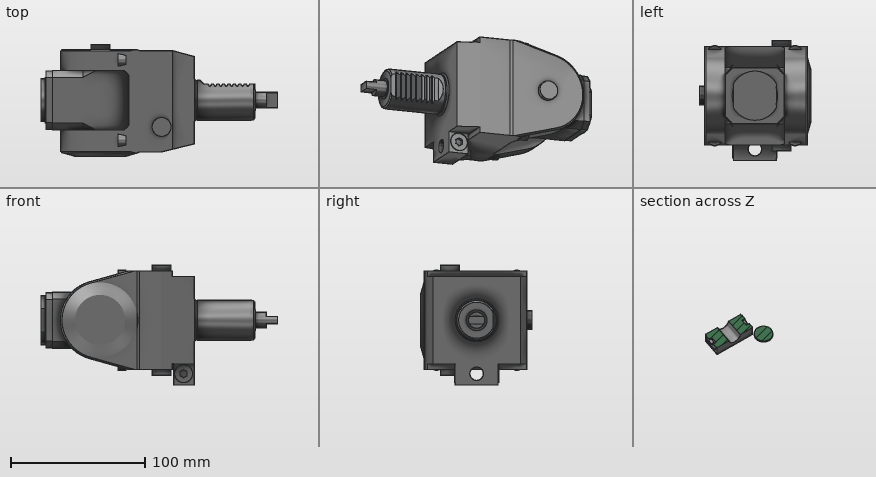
import cadquery as cq
import math


NOSE_RADIUS = 29.8
BODY_HALF_HEIGHT = 36.9
SLOPE_END_X = 21.4
STEP_X = 53.7
BODY_END_X = 70.0
END_HALF_HEIGHT = 32.7
END_HALF_WIDTH = 32.7
BODY_BACK_Y = 37.0
BODY_FRONT_Y = -38.7
CHEEK_HEIGHT = 0.7
CHEEK_END_X = 27.2
CHEEK_BEVEL_LENGTH = 2.1
CHEEK_CHAMFER = 1.2
FRONT_TAPER_X = 45.7

SLOT_HALF_WIDTH = 22.2
SLOT_END_X = 21.4
SLOT_CORNER_RADIUS = 5.8
RELIEF_HALF_HEIGHT = 23.0

HEAD_RADIUS = 21.0
HEAD_START_X = -35.7
HEAD_CHAMFER = 5.1
HEAD_CHAMFER_END_X = -13.0
HEAD_CHAMFER_RUNOUT_X = -3.0
FACE_PLATE_START_X = -40.6
FACE_PLATE_INSET = 0.4
NECK_LENGTH = 0.5
NECK_RADIUS = 17.0
CAP_START_X = -44.3
CAP_RADIUS = 18.4
CAP_HALF_WIDTH = 16.0

COVER_Y = -42.0
COVER_BASE_RADIUS = 28.0
COVER_TOP_RADIUS = 18.7
PIN_RADIUS = 7.0
PIN_END_Y = 41.5

PLUG_RADIUS = 7.0
PLUG_X = 45.7
PLUG_Y = -20.0
PLUG_HALF_SPAN = 41.1

SCREW_RADIUS = 5.3
SCREW_START_X = 13.2
SCREW_LENGTH = 6.0
SCREW_Z = 32.1
SCREW_SPACING = 60.0

BLOCK_START_X = 54.7
BLOCK_BOTTOM_Z = -48.4
BLOCK_HALF_WIDTH = 16.0
NOZZLE_X = 62.1
NOZZLE_Z = -39.9
NOZZLE_RADIUS = 6.7
NOZZLE_HEIGHT = 0.5
SOCKET_WIDTH = 5.3
SOCKET_DEPTH = 2.6
BLOCK_BORE_RADIUS = 5.0

SHANK_RADIUS = 15.0
SHANK_END_X = 115.3
SHANK_SHOULDER_X = 112.3
SHANK_LIP_X = 114.4
SHANK_LIP_RADIUS = 14.6
SHANK_END_RADIUS = 13.5
COLLAR_RADIUS = 16.0
COLLAR_END_X = 71.3
RELIEF_GROOVE_END_X = 72.4
RELIEF_GROOVE_RADIUS = 14.8
FLAT_Y = 12.2
FLAT_START_X = 74.3
TOOTH_COUNT = 8
TOOTH_PITCH = 4.0
TOOTH_DEPTH = 1.6
FIRST_GROOVE_X = 81.7
GROOVE_HALF_WIDTH = 1.5
GROOVE_FLOOR_HALF_WIDTH = 0.4
PILOT_RADIUS = 7.8
PILOT_LENGTH = 0.4
TANG_RADIUS = 6.0
TANG_FLAT_START_X = 123.9
TANG_HALF_THICKNESS = 2.8
TANG_END_X = 132.2

CHEEK_BACK_Y = BODY_BACK_Y + CHEEK_HEIGHT
CHEEK_FRONT_Y = BODY_FRONT_Y - CHEEK_HEIGHT


def box(x_range, y_range, z_range):
    """Box between pairs of limits."""
    lengths = [high - low for low, high in (x_range, y_range, z_range)]
    corner = (x_range[0], y_range[0], z_range[0])
    return cq.Workplane("XY").box(*lengths, centered=False).translate(corner)


def rod_x(radius, start, end, y=0, z=0):
    """Cylinder along X."""
    return cq.Workplane("YZ", origin=(start, y, z)).circle(radius).extrude(end - start)


def rod_y(radius, start, end, x=0, z=0):
    """Cylinder along Y."""
    return cq.Workplane("XZ", origin=(x, start, z)).circle(radius).extrude(start - end)


def chamfered_bar(half_width, half_height, chamfer, start, end):
    """Rectangular bar along X with its four long edges chamfered."""
    bar = box((start, end), (-half_width, half_width), (-half_height, half_height))
    return bar.edges("|X").chamfer(chamfer)


def side_profile():
    """Body seen along Y: round nose, tangent slopes, stepped back end."""
    corner_distance = math.hypot(SLOPE_END_X, BODY_HALF_HEIGHT)
    corner_angle = math.atan2(BODY_HALF_HEIGHT, SLOPE_END_X)
    tangent_angle = corner_angle + math.acos(NOSE_RADIUS / corner_distance)
    tangent_x = NOSE_RADIUS * math.cos(tangent_angle)
    tangent_z = NOSE_RADIUS * math.sin(tangent_angle)
    return (
        cq.Workplane("XZ")
        .moveTo(tangent_x, -tangent_z)
        .threePointArc((-NOSE_RADIUS, 0), (tangent_x, tangent_z))
        .lineTo(SLOPE_END_X, BODY_HALF_HEIGHT)
        .lineTo(STEP_X, BODY_HALF_HEIGHT)
        .lineTo(STEP_X, END_HALF_HEIGHT)
        .lineTo(BODY_END_X, END_HALF_HEIGHT)
        .lineTo(BODY_END_X, -END_HALF_HEIGHT)
        .lineTo(STEP_X, -END_HALF_HEIGHT)
        .lineTo(STEP_X, -BODY_HALF_HEIGHT)
        .lineTo(SLOPE_END_X, -BODY_HALF_HEIGHT)
        .close()
        .extrude(-2 * CHEEK_FRONT_Y, both=True)
    )


def plan_profile():
    """Body seen along Z: raised cheeks at the nose, tapered sides at the back."""
    bevel_end_x = CHEEK_END_X + CHEEK_BEVEL_LENGTH
    return (
        cq.Workplane("XY")
        .moveTo(-NOSE_RADIUS, CHEEK_BACK_Y)
        .lineTo(CHEEK_END_X, CHEEK_BACK_Y)
        .lineTo(bevel_end_x, BODY_BACK_Y)
        .lineTo(STEP_X, BODY_BACK_Y)
        .lineTo(BODY_END_X, END_HALF_WIDTH)
        .lineTo(BODY_END_X, -END_HALF_WIDTH)
        .lineTo(FRONT_TAPER_X, BODY_FRONT_Y)
        .lineTo(bevel_end_x, BODY_FRONT_Y)
        .lineTo(CHEEK_END_X, CHEEK_FRONT_Y)
        .lineTo(-NOSE_RADIUS, CHEEK_FRONT_Y)
        .close()
        .extrude(BODY_HALF_HEIGHT, both=True)
    )


def fork_body():
    body = side_profile().intersect(plan_profile())
    reach = 2 * NOSE_RADIUS
    nose_zone = cq.selectors.BoxSelector((-reach, -reach, -reach), (SLOPE_END_X, reach, reach))
    for side in ("<Y", ">Y"):
        body = body.faces(side).edges(nose_zone).chamfer(CHEEK_CHAMFER)

    width_range = (-SLOT_HALF_WIDTH, SLOT_HALF_WIDTH)
    height_range = (-BODY_HALF_HEIGHT, BODY_HALF_HEIGHT)
    slot = box((-reach, SLOT_END_X), width_range, height_range)
    slot = slot.edges("|Z and >X").fillet(SLOT_CORNER_RADIUS)
    relief = chamfered_bar(SLOT_HALF_WIDTH, RELIEF_HALF_HEIGHT, SLOT_CORNER_RADIUS, 0, SLOT_END_X)
    return body.cut(slot).cut(relief)


def head_corner_cut():
    """Chamfer of the upper -Y head edge, running out to a point near the swivel axis."""
    inner_y = -SLOT_HALF_WIDTH + HEAD_CHAMFER
    lower_z = HEAD_RADIUS - HEAD_CHAMFER
    corner = (HEAD_START_X, -SLOT_HALF_WIDTH, HEAD_RADIUS)
    tip = (HEAD_CHAMFER_RUNOUT_X, -SLOT_HALF_WIDTH, HEAD_RADIUS)
    top_start = (HEAD_START_X, inner_y, HEAD_RADIUS)
    top_end = (HEAD_CHAMFER_END_X, inner_y, HEAD_RADIUS)
    side_start = (HEAD_START_X, -SLOT_HALF_WIDTH, lower_z)
    side_end = (HEAD_CHAMFER_END_X, -SLOT_HALF_WIDTH, lower_z)
    outlines = [
        [corner, top_start, side_start],
        [corner, top_start, top_end, tip],
        [corner, side_start, side_end, tip],
        [top_start, top_end, side_end, side_start],
        [top_end, side_end, tip],
    ]
    faces = []
    for points in outlines:
        wire = cq.Wire.makePolygon([cq.Vector(*point) for point in points], close=True)
        faces.append(cq.Face.makeFromWires(wire))
    return cq.Workplane(cq.Solid.makeSolid(cq.Shell.makeShell(faces)))


def swivel_head():
    width_range = (-SLOT_HALF_WIDTH, SLOT_HALF_WIDTH)
    head = box((HEAD_START_X, 0), width_range, (-HEAD_RADIUS, HEAD_RADIUS))
    head = head.union(rod_y(HEAD_RADIUS, *width_range))
    corner_cut = head_corner_cut()
    upper_cuts = corner_cut.union(corner_cut.mirror("XZ"))
    head = head.cut(upper_cuts).cut(upper_cuts.mirror("XY"))

    plate = chamfered_bar(
        SLOT_HALF_WIDTH - FACE_PLATE_INSET, HEAD_RADIUS - FACE_PLATE_INSET,
        HEAD_CHAMFER, FACE_PLATE_START_X, HEAD_START_X,
    )
    neck_start_x = FACE_PLATE_START_X - NECK_LENGTH
    neck = rod_x(NECK_RADIUS, neck_start_x, FACE_PLATE_START_X)
    cap_flats = box(
        (CAP_START_X, neck_start_x), (-CAP_HALF_WIDTH, CAP_HALF_WIDTH), (-CAP_RADIUS, CAP_RADIUS)
    )
    cap = rod_x(CAP_RADIUS, CAP_START_X, neck_start_x).intersect(cap_flats)
    return head.union(plate).union(neck).union(cap)


def swivel_cover():
    """Conical cover on the -Y cheek."""
    cone = cq.Solid.makeCone(
        COVER_BASE_RADIUS, COVER_TOP_RADIUS, CHEEK_FRONT_Y - COVER_Y,
        cq.Vector(0, CHEEK_FRONT_Y, 0), cq.Vector(0, -1, 0),
    )
    return cq.Workplane(cone)


def plugs():
    pillar = cq.Workplane("XY").center(PLUG_X, PLUG_Y).circle(PLUG_RADIUS)
    return pillar.extrude(PLUG_HALF_SPAN, both=True)


def arm_screws():
    screws = cq.Workplane()
    for y_side in (-1, 1):
        y = y_side * SCREW_SPACING / 2
        for z_side in (-1, 1):
            end_x = SCREW_START_X + SCREW_LENGTH
            screws = screws.add(rod_x(SCREW_RADIUS, SCREW_START_X, end_x, y, z_side * SCREW_Z))
    return screws.combine()


def coolant_block():
    nozzle_y = BLOCK_HALF_WIDTH + NOZZLE_HEIGHT
    block = box(
        (BLOCK_START_X, BODY_END_X), (-BLOCK_HALF_WIDTH, BLOCK_HALF_WIDTH),
        (BLOCK_BOTTOM_Z, -END_HALF_HEIGHT),
    )
    block = block.union(rod_y(NOZZLE_RADIUS, -nozzle_y, nozzle_y, NOZZLE_X, NOZZLE_Z))
    socket = (
        cq.Workplane("XZ", origin=(NOZZLE_X, -nozzle_y, NOZZLE_Z))
        .polygon(6, SOCKET_WIDTH, circumscribed=True)
        .extrude(-SOCKET_DEPTH)
    )
    bore = rod_x(BLOCK_BORE_RADIUS, BLOCK_START_X, BODY_END_X, 0, NOZZLE_Z)
    return block.cut(socket).cut(socket.mirror("XZ")).cut(bore)


def shank():
    body = (
        cq.Workplane("XY")
        .moveTo(BODY_END_X, 0)
        .lineTo(BODY_END_X, COLLAR_RADIUS)
        .lineTo(COLLAR_END_X, RELIEF_GROOVE_RADIUS)
        .lineTo(RELIEF_GROOVE_END_X, RELIEF_GROOVE_RADIUS)
        .lineTo(RELIEF_GROOVE_END_X, SHANK_RADIUS)
        .lineTo(SHANK_SHOULDER_X, SHANK_RADIUS)
        .lineTo(SHANK_LIP_X, SHANK_LIP_RADIUS)
        .lineTo(SHANK_END_X, SHANK_END_RADIUS)
        .lineTo(SHANK_END_X, 0)
        .close()
        .revolve(360, (0, 0, 0), (1, 0, 0))
    )

    flat_depth = SHANK_RADIUS - FLAT_Y
    cut = (
        cq.Workplane("XY")
        .moveTo(FLAT_START_X, SHANK_RADIUS)
        .lineTo(FLAT_START_X + flat_depth, FLAT_Y)
    )
    for index in range(TOOTH_COUNT):
        x = FIRST_GROOVE_X + index * TOOTH_PITCH
        cut = (
            cut.lineTo(x - GROOVE_HALF_WIDTH, FLAT_Y)
            .lineTo(x - GROOVE_FLOOR_HALF_WIDTH, FLAT_Y - TOOTH_DEPTH)
            .lineTo(x + GROOVE_FLOOR_HALF_WIDTH, FLAT_Y - TOOTH_DEPTH)
            .lineTo(x + GROOVE_HALF_WIDTH, FLAT_Y)
        )
    cut = cut.lineTo(SHANK_END_X, FLAT_Y).lineTo(SHANK_END_X, SHANK_RADIUS).close()
    return body.cut(cut.extrude(SHANK_RADIUS, both=True))


def tang():
    pilot = rod_x(PILOT_RADIUS, SHANK_END_X, SHANK_END_X + PILOT_LENGTH)
    round_part = rod_x(TANG_RADIUS, SHANK_END_X, TANG_FLAT_START_X)
    blade = rod_x(TANG_RADIUS, TANG_FLAT_START_X, TANG_END_X).intersect(
        box(
            (TANG_FLAT_START_X, TANG_END_X), (-TANG_RADIUS, TANG_RADIUS),
            (-TANG_HALF_THICKNESS, TANG_HALF_THICKNESS),
        )
    )
    return pilot.union(round_part).union(blade)


result = (
    fork_body()
    .union(swivel_head())
    .union(swivel_cover())
    .union(rod_y(PIN_RADIUS, CHEEK_BACK_Y, PIN_END_Y))
    .union(plugs())
    .union(arm_screws())
    .union(coolant_block())
    .union(shank())
    .union(tang())
)